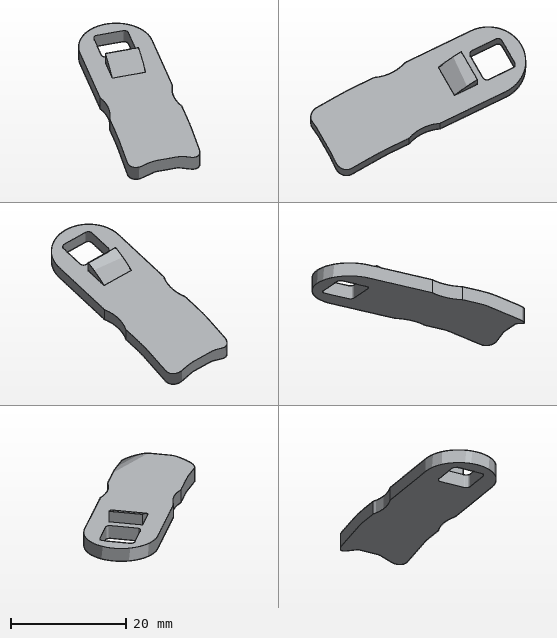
import cadquery as cq
import math

length = 38.7
width = 13.0
thickness = 2.48
corner_radius = 2.1
half_width = width / 2

scallop_center_x = 22.4
scallop_length = 6.05
scallop_depth = 0.6

window_center_x = 5.7
window_size = 6.2
window_corner_radius = 0.77

catch_start_x = 10.2
catch_length = 4.5
catch_width = 6.0
catch_height = 2.0
catch_mid_offset = 2.8
catch_mid_height = 0.95

bend_start_x = 29.15
bend_end_y = 1.75
bend_angle = math.radians(21.5)
bend_inner_radius = 1.55
bend_outer_radius = bend_inner_radius + thickness
bend_direction = cq.Vector(length - bend_start_x, bend_end_y - half_width, 0)

reach = 15.48


def outline_prism(bottom, height):
    """Plan outline of the plate, extruded upwards from the given level."""
    scallop_start_x = scallop_center_x - scallop_length / 2
    scallop_end_x = scallop_center_x + scallop_length / 2
    scallop_y = half_width - scallop_depth
    return (
        cq.Workplane("XY", origin=(0, 0, bottom))
        .moveTo(half_width, half_width)
        .lineTo(scallop_start_x, half_width)
        .threePointArc((scallop_center_x, scallop_y), (scallop_end_x, half_width))
        .lineTo(length, half_width)
        .lineTo(length, -half_width)
        .lineTo(scallop_end_x, -half_width)
        .threePointArc((scallop_center_x, -scallop_y), (scallop_start_x, -half_width))
        .lineTo(half_width, -half_width)
        .threePointArc((0, 0), (half_width, half_width))
        .close()
        .extrude(height)
        .edges("|Z and >X")
        .fillet(corner_radius)
    )


def bend_section():
    """Workplane across the +Y bend: local x points to the corner, local y up."""
    across = cq.Vector(-bend_direction.y, bend_direction.x, 0)
    normal = across.cross(cq.Vector(0, 0, 1))
    return cq.Workplane(cq.Plane(origin=(bend_start_x, half_width, 0), xDir=across, normal=normal))


def beyond_bend():
    """Everything on the corner side of the +Y bend line."""
    return bend_section().rect(reach, 2 * reach).extrude(reach, both=True).translate(
        cq.Vector(-bend_direction.y, bend_direction.x, 0).normalized() * (reach / 2)
    )


def bent_sheet():
    """Sheet of constant thickness curving down from the +Y bend line."""
    center_z = -bend_inner_radius

    def bend_point(radius, angle):
        return (radius * math.sin(angle), center_z + radius * math.cos(angle))

    outer_end = bend_point(bend_outer_radius, bend_angle)
    inner_end = bend_point(bend_inner_radius, bend_angle)
    run = reach * math.cos(bend_angle)
    drop = reach * math.sin(bend_angle)
    return (
        bend_section()
        .moveTo(0, thickness)
        .threePointArc(bend_point(bend_outer_radius, bend_angle / 2), outer_end)
        .lineTo(outer_end[0] + run, outer_end[1] - drop)
        .lineTo(inner_end[0] + run, inner_end[1] - drop)
        .lineTo(*inner_end)
        .threePointArc(bend_point(bend_inner_radius, bend_angle / 2), (0, 0))
        .close()
        .extrude(reach, both=True)
    )


def bend_corners(plate):
    """Replace both flat corners of the square end by bent ones."""
    flat_corner = beyond_bend()
    bent_corner = outline_prism(-reach, 2 * reach).intersect(bent_sheet())
    plate = plate.cut(flat_corner).cut(flat_corner.mirror("XZ"))
    return plate.union(bent_corner).union(bent_corner.mirror("XZ"))


def window():
    return (
        cq.Workplane("XY")
        .center(window_center_x, 0)
        .rect(window_size, window_size)
        .extrude(thickness)
        .edges("|Z")
        .fillet(window_corner_radius)
    )


def catch():
    """Upright front face with a curved ramp falling back to the plate."""
    return (
        cq.Workplane("XZ", origin=(catch_start_x, 0, thickness))
        .lineTo(0, catch_height)
        .threePointArc((catch_mid_offset, catch_mid_height), (catch_length, 0))
        .close()
        .extrude(catch_width / 2, both=True)
    )


flat_plate = outline_prism(0, thickness)
result = bend_corners(flat_plate).cut(window()).union(catch())